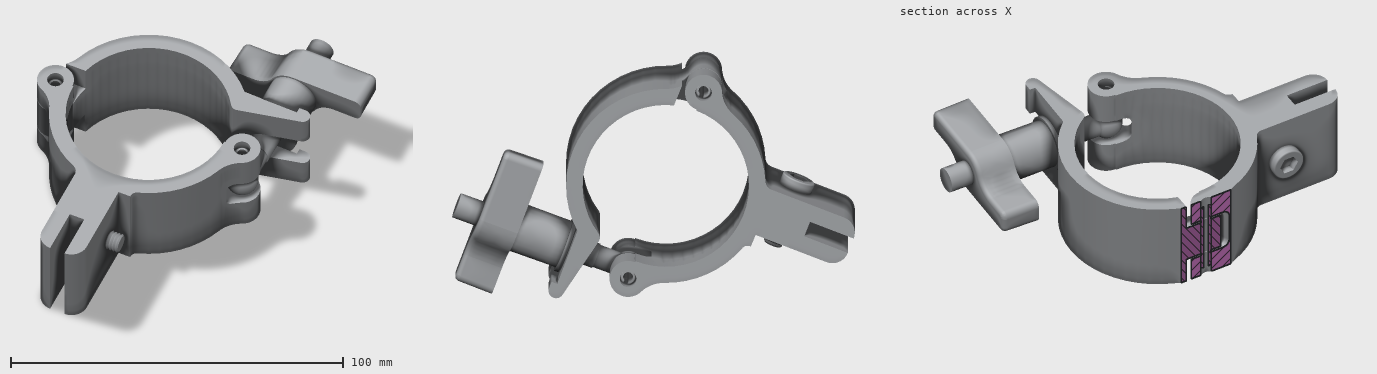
import cadquery as cq
import math


width = 30.0
bore_radius = 25.0
ring_radius = 30.0
hinge_offset = 30.9
boss_radius = 5.6
boss_blend = 10.0

hinge_slot_width = 14.0
hinge_slot_corner = 2.0
knuckle_width = 12.7
bolt_slot_width = 9.3
bolt_slot_corner = 2.0
pin_slot_radius = 8.2
upper_jaw_start_y = 6.8
pin_radius = 2.5
pin_bore_radius = 1.5
pin_length = 25.0
pin_gap = 1.4
pin_chamfer = 0.5

leg_middle_x = -3.2
plate_thickness = 7.4
leg_end_y = -58.5
leg_slot_width = 4.8
leg_slot_top_y = -44.5
flange_right_x = 8.1
flange_bottom_y = -30.7
left_blend = 3.0
right_blend = 2.0
leg_left_x = leg_middle_x - plate_thickness
leg_right_x = leg_middle_x + plate_thickness
leg_tip_radius = plate_thickness - leg_slot_width / 2

screw_y = -37.7
screw_radius = 3.0
thread_root_radius = 2.5
thread_pitch = 1.0
exposed_threads = 4
head_radius = 5.1
head_height = 3.2
head_rounding = 0.5
socket_width = 5.3
socket_depth = 2.3
socket_cone_depth = 1.0

tilt = 1.1
bolt_length = 55.0
bolt_radius = 3.9
neck_radius = 3.5
neck_height = 10.2
eye_radius = 5.0
eye_width = 8.0
washer_radius = 8.5
washer_base = 19.4
washer_top = 20.7
spigot_radius = 7.4
spigot_top_radius = 7.5
knob_base = 35.5
knob_top = 47.6
hub_radius = 8.1
wing_reach = 22.4
wing_offset = 0.1
knob_draft = 1.0
wing_corner = 2.0
wing_blend = 7.2
knob_rounding = 1.5

arm_slope = 13.0
arm_tip_x = 11.0
arm_tip_y = 19.0
arm_tip_radius = 2.3
lip_x = 8.9
arm_slot_width = 10.7
arm_corner = 2.3
arm_corner_bearing = 30.0
arm_floor_start_x = -11.4

BIG = 68.2


def slab(sketch, height):
    """Extrude an XY outline by equal amounts above and below Z = 0."""
    return sketch.extrude(height / 2, both=True)


def rectangle(x0, x1, y0, y1):
    return cq.Workplane("XY").center((x0 + x1) / 2, (y0 + y1) / 2).rect(x1 - x0, y1 - y0)


def tilted(body):
    """Move a body from the bolt frame to its place on the right pin."""
    return body.rotate((0, 0, 0), (0, 0, 1), -tilt).translate((hinge_offset, 0, 0))


def concave_arc(circle_radius, center, radius, touch):
    """Middle and end of a blend arc from `touch` onto a circle about the origin."""
    cx, cy = center
    distance = circle_radius + radius
    landing = (cx * circle_radius / distance, cy * circle_radius / distance)
    mid_x = (touch[0] + landing[0]) / 2 - cx
    mid_y = (touch[1] + landing[1]) / 2 - cy
    scale = radius / math.hypot(mid_x, mid_y)
    return (cx + mid_x * scale, cy + mid_y * scale), landing


def ring_web(center, radius, touch, height):
    """Sector from the tube centre whose rim is a blend arc from `touch` onto the ring."""
    middle, landing = concave_arc(ring_radius, center, radius, touch)
    sector = (cq.Workplane("XY").lineTo(*touch)
              .threePointArc(middle, landing).close())
    return slab(sector, height)


def pin_boss(height):
    """Left pin boss with its blend into the lower half of the ring."""
    to_pin = boss_radius + boss_blend
    to_ring = ring_radius + boss_blend
    cx = -(hinge_offset**2 + to_ring**2 - to_pin**2) / (2 * hinge_offset)
    cy = -math.sqrt(to_ring**2 - cx**2)
    part = boss_radius / to_pin
    touch = (-hinge_offset + (cx + hinge_offset) * part, cy * part)
    web = ring_web((cx, cy), boss_blend, touch, height)
    link = slab(cq.Workplane("XY").polyline([(0, 0), (-hinge_offset, 0), touch]).close(), height)
    boss = slab(cq.Workplane("XY").center(-hinge_offset, 0).circle(boss_radius), height)
    return boss.union(link).union(web)


def pin_hole(x):
    """Cutter for a pin that runs along Z at the given X."""
    return slab(cq.Workplane("XY").center(x, 0).circle(pin_radius), BIG)


def bore():
    return slab(cq.Workplane("XY").circle(bore_radius), BIG)


def half_ring(height, y0, y1):
    ring = slab(cq.Workplane("XY").circle(ring_radius), height)
    return ring.intersect(slab(rectangle(-BIG, BIG, y0, y1), height))


def pin_slot(x, slot_width, corner):
    """Round slot about a pin axis, with rounded rims."""
    cutter = slab(cq.Workplane("XY").center(x, 0).circle(pin_slot_radius), slot_width)
    return cutter.edges().fillet(corner)


def leg_blend(edge_x, radius):
    """Concave blend between the ring and the vertical side of the leg at edge_x."""
    cx = edge_x + math.copysign(radius, edge_x)
    cy = -math.sqrt((ring_radius + radius)**2 - cx**2)
    return ring_web((cx, cy), radius, (edge_x, cy), width)


def leg_slot():
    return slab(rectangle(leg_middle_x - leg_slot_width / 2, leg_middle_x + leg_slot_width / 2,
                          -BIG, leg_slot_top_y), BIG)


def screw_hole():
    """Cutter along X for the clamp screw."""
    return cq.Workplane("YZ").center(screw_y, 0).circle(screw_radius).extrude(BIG / 2, both=True)


def make_lower_jaw():
    jaw = half_ring(width, -BIG, 0)
    boss = pin_boss(width)
    jaw = jaw.union(boss).union(boss.mirror("YZ"))
    leg = slab(rectangle(leg_left_x, leg_middle_x, leg_end_y, -bore_radius), width)
    leg = leg.edges("|Z and <X and <Y").fillet(leg_tip_radius)
    flange = slab(rectangle(leg_left_x, flange_right_x, flange_bottom_y, -bore_radius), width)
    jaw = jaw.union(leg).union(flange)
    jaw = jaw.union(leg_blend(leg_left_x, left_blend)).union(leg_blend(flange_right_x, right_blend))
    jaw = jaw.cut(bore()).cut(leg_slot()).cut(screw_hole())
    jaw = jaw.cut(pin_slot(-hinge_offset, hinge_slot_width, hinge_slot_corner))
    jaw = jaw.cut(pin_slot(hinge_offset, bolt_slot_width, bolt_slot_corner))
    return jaw.cut(pin_hole(-hinge_offset)).cut(pin_hole(hinge_offset))


def make_clamp_plate():
    plate = slab(rectangle(leg_middle_x, leg_right_x, leg_end_y, flange_bottom_y), width)
    plate = plate.edges("|Z and >X and <Y").fillet(leg_tip_radius)
    return plate.cut(leg_slot()).cut(screw_hole())


def make_upper_jaw():
    slope = math.radians(arm_slope)
    under_x = arm_tip_x + arm_tip_radius * math.sin(slope)
    under_y = arm_tip_y - arm_tip_radius * math.cos(slope)
    root_x = -hinge_offset / 2
    root_y = under_y - (under_x - root_x) * math.tan(slope)

    arm = slab(
        cq.Workplane("XY").moveTo(arm_floor_start_x, washer_base)
        .lineTo(lip_x, washer_base)
        .lineTo(lip_x, arm_tip_y + arm_tip_radius)
        .lineTo(arm_tip_x, arm_tip_y + arm_tip_radius)
        .threePointArc((arm_tip_x + arm_tip_radius * math.cos(slope),
                        arm_tip_y + arm_tip_radius * math.sin(slope)), (under_x, under_y))
        .lineTo(root_x, root_y).close(), width)
    opening = slab(
        cq.Workplane("XY").polyline([(root_x, root_y), (under_x, under_y),
                                     (under_x, -BIG), (root_x, -BIG)]).close(), BIG)
    arm_slot = (cq.Workplane("XZ").circle(arm_slot_width / 2).extrude(-BIG)
                .union(cq.Workplane("XZ").center(BIG / 2, 0).rect(BIG, arm_slot_width).extrude(-BIG)))

    jaw = half_ring(width, upper_jaw_start_y, BIG)
    shoulder = pin_boss(width).mirror("XZ")
    jaw = jaw.union(shoulder.intersect(slab(rectangle(-BIG, 0, upper_jaw_start_y, BIG), BIG)))
    jaw = jaw.cut(tilted(opening)).union(tilted(arm)).cut(bore())
    bearing = math.radians(arm_corner_bearing)
    corner_spot = (bore_radius * math.cos(bearing), bore_radius * math.sin(bearing), 0)
    jaw = jaw.edges("|Z").edges(cq.selectors.NearestToPointSelector(corner_spot)).fillet(arm_corner)

    knuckle = pin_boss(knuckle_width).mirror("XZ")
    knuckle_ring = half_ring(knuckle_width, 0, upper_jaw_start_y)
    knuckle_ring = knuckle_ring.intersect(slab(rectangle(-BIG, 0, 0, BIG), BIG))
    jaw = jaw.union(knuckle.union(knuckle_ring).cut(bore()))
    return jaw.cut(tilted(arm_slot)).cut(pin_hole(-hinge_offset))


def make_pin(x):
    """Rolled spring pin: a chamfered tube slit along its +X side."""
    pin = slab(cq.Workplane("XY").circle(pin_radius), pin_length)
    pin = pin.faces("|Z").edges().chamfer(pin_chamfer)
    pin = pin.cut(slab(cq.Workplane("XY").circle(pin_bore_radius), BIG))
    pin = pin.cut(slab(rectangle(0, BIG, -pin_gap / 2, pin_gap / 2), BIG))
    return pin.translate((x, 0, 0))


def make_screw():
    def rod(x0, length, radius):
        return cq.Workplane("YZ", origin=(x0, screw_y, 0)).circle(radius).extrude(length)

    head_x = leg_left_x - head_height
    head = rod(head_x, head_height, head_radius).faces("<X").edges().fillet(head_rounding)
    corners = socket_width / math.cos(math.pi / 6)
    socket = cq.Workplane("YZ", origin=(head_x, screw_y, 0)).polygon(6, corners).extrude(socket_depth)
    point = cq.Solid.makeCone(socket_width / 2, 0, socket_cone_depth,
                              cq.Vector(head_x + socket_depth, screw_y, 0), cq.Vector(1, 0, 0))
    shank = rod(leg_left_x, leg_right_x - leg_left_x, screw_radius)
    exposed = exposed_threads * thread_pitch
    screw = head.union(shank).cut(socket).cut(cq.Workplane(point))
    screw = screw.union(rod(leg_right_x, exposed, thread_root_radius))
    for i in range(exposed_threads):
        start = leg_right_x + i * thread_pitch
        ridge = (cq.Workplane("XY").polyline([(start, 0), (start, thread_root_radius),
                                              (start + thread_pitch / 2, screw_radius),
                                              (start + thread_pitch, thread_root_radius),
                                              (start + thread_pitch, 0)]).close()
                 .revolve(360, (0, 0, 0), (1, 0, 0)))
        screw = screw.union(ridge.translate((0, screw_y, 0)))
    return screw


def bolt_rod(base, top, radius):
    """Cylinder along the bolt axis, in the bolt frame."""
    return cq.Workplane("XZ", origin=(0, base, 0)).circle(radius).extrude(base - top)


def make_swing_bolt():
    eye = cq.Workplane("XY").sphere(eye_radius)
    bolt = eye.union(bolt_rod(0, neck_height, neck_radius))
    bolt = bolt.union(bolt_rod(neck_height, bolt_length, bolt_radius))
    sides = cq.Workplane("XY").box(BIG, BIG, eye_width).union(bolt_rod(eye_radius, BIG, eye_radius))
    return tilted(bolt.intersect(sides)).cut(pin_hole(hinge_offset))


def make_washer():
    return tilted(bolt_rod(washer_base, washer_top, washer_radius).cut(bolt_rod(0, BIG, bolt_radius)))


def make_knob():
    height = knob_top - knob_base
    cz = wing_offset - wing_blend
    cx = math.sqrt((hub_radius + wing_blend)**2 - cz**2)
    touch = (cx, wing_offset)
    middle, landing = concave_arc(hub_radius, (cx, cz), wing_blend, touch)
    hub_angle = math.atan2(landing[1], landing[0]) / 2 - math.pi / 4
    hub_middle = (hub_radius * math.cos(hub_angle), hub_radius * math.sin(hub_angle))

    outline = cq.Workplane("XZ").moveTo(0, hub_radius)
    for side in (1, -1):
        outline = (outline.lineTo(side * wing_reach, side * hub_radius)
                   .lineTo(side * wing_reach, side * wing_offset)
                   .lineTo(side * touch[0], side * touch[1])
                   .threePointArc((side * middle[0], side * middle[1]),
                                  (side * landing[0], side * landing[1]))
                   .threePointArc((side * hub_middle[0], side * hub_middle[1]), (0, -side * hub_radius)))
    grip = outline.close().extrude(-height, taper=knob_draft)
    grip = grip.faces("<X or >X").edges("not (<Y or >Y)").fillet(wing_corner)
    grip = grip.faces(">Y").edges().fillet(knob_rounding).translate((0, knob_base, 0))
    spigot = cq.Workplane(cq.Solid.makeCone(spigot_radius, spigot_top_radius, knob_base - washer_top,
                                            cq.Vector(0, washer_top, 0), cq.Vector(0, 1, 0)))
    return tilted(grip.union(spigot).cut(bolt_rod(0, BIG, bolt_radius)))


lower_jaw = make_lower_jaw()
upper_jaw = make_upper_jaw()
clamp_plate = make_clamp_plate()
screw = make_screw()
swing_bolt = make_swing_bolt()
washer = make_washer()
knob = make_knob()
pins = [make_pin(x) for x in (-hinge_offset, hinge_offset)]

result = cq.Compound.makeCompound([
    lower_jaw.val(),
    upper_jaw.val(),
    clamp_plate.val(),
    screw.val(),
    swing_bolt.val(),
    washer.val(),
    knob.val(),
    *[pin.val() for pin in pins],
])